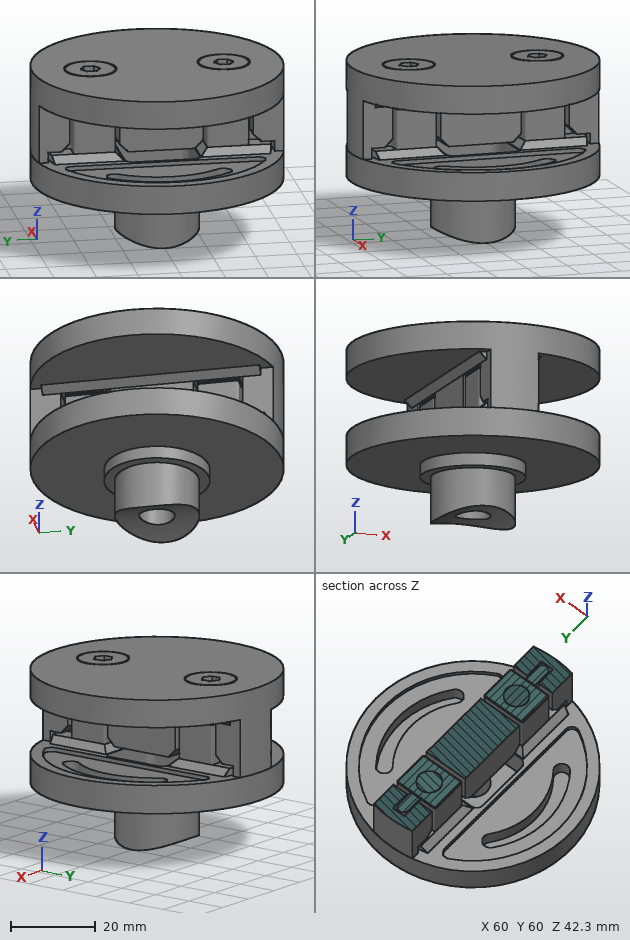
import cadquery as cq
import math

plate_diameter = 60.0
cap_thickness = 6.7
base_thickness = 6.9
glass_gap = 14.15
web_width = 12.0
foot_chamfer = 1.8
screw_spacing = 32.05

plate_radius = plate_diameter / 2
half_web = web_width / 2
half_foot = half_web + foot_chamfer
screw_places = [(0, screw_spacing / 2), (0, -screw_spacing / 2)]
block_length = 10.0
block_corner_radius = 0.5
joint_height = 11.7
joint_chamfer = 0.25
ceiling_height = glass_gap - foot_chamfer
block_inner_face = (screw_spacing - block_length) / 2
block_outer_face = (screw_spacing + block_length) / 2

ridge_outer_radius = 27.0
tongue_thickness = 3.0
tongue_root_radius = 0.4
pad_radius = 27.0
pad_inner_edge = 10.0
pad_depth = 1.0
pad_corner_radius = 1.8
kidney_mid_radius = 21.0
kidney_width = 3.95
kidney_half_angle = 38.5
kidney_depth = 3.6
window_side = 18.0
window_corner_radius = 2.0

slot_width = 12.0
slot_chamfer = 2.0
tongue_slot_width = 3.5
tongue_slot_end = 27.25
tongue_notch_height = 2.5
center_block_clearance = 1.7
flare_half_length = 26.4

countersink_diameter = 12.5
head_diameter = 12.0
shank_diameter = 6.0
screw_length = 20.0
socket_across_flats = 4.1
socket_depth = 3.6

collar_diameter = 25.0
collar_height = 3.05
stub_diameter = 20.05
stub_length = 11.45
saddle_radius = 22.5
adapter_bore = 8.4

cap_top = glass_gap + cap_thickness
screw_tip = cap_top - screw_length
base_bottom = -base_thickness
collar_bottom = base_bottom - collar_height
stub_bottom = collar_bottom - stub_length


def cylinder(diameter, bottom, top):
    """Upright cylinder on the Z axis."""
    return cq.Workplane("XY").workplane(offset=bottom).circle(diameter / 2).extrude(top - bottom)


def joint_block(bottom, top):
    """Rounded rectangular block around each screw, on both sides of the joint."""
    return (
        cq.Workplane("XY").workplane(offset=bottom)
        .pushPoints(screw_places)
        .rect(web_width, block_length)
        .extrude(top - bottom)
        .edges("|Z").fillet(block_corner_radius)
    )


def screw_holes(bottom, top):
    """Plain holes that the screw shanks fill."""
    return (
        cq.Workplane("XY").workplane(offset=bottom)
        .pushPoints(screw_places)
        .circle(shank_diameter / 2)
        .extrude(top - bottom)
    )


def ridges():
    """Two bevelled ridges that carry the posts, with rounded outer ends."""
    inner_foot = block_inner_face - foot_chamfer
    profile = [
        (-half_foot, 0),
        (half_foot, 0),
        (half_web, foot_chamfer),
        (-half_web, foot_chamfer),
    ]
    bar = cq.Workplane("XZ").polyline(profile).close().extrude(plate_radius, both=True)
    gap_profile = [
        (-inner_foot, 0),
        (inner_foot, 0),
        (block_inner_face, foot_chamfer),
        (-block_inner_face, foot_chamfer),
    ]
    gap = cq.Workplane("YZ").polyline(gap_profile).close().extrude(half_foot, both=True)
    return bar.cut(gap).intersect(cylinder(2 * ridge_outer_radius, 0, foot_chamfer))


def posts():
    """Posts around the screws, each with a round-ended tongue that points outwards."""
    tongues = (
        cq.Workplane("XY")
        .slot2D(2 * ridge_outer_radius, tongue_thickness, 90)
        .extrude(ceiling_height)
        .cut(cq.Workplane("XY").box(web_width, 2 * block_outer_face, 2 * glass_gap))
    )
    blocks = joint_block(0, joint_height).faces(">Z").chamfer(joint_chamfer)
    root_edges = cq.selectors.BoxSelector(
        (-tongue_thickness, -block_outer_face - tongue_root_radius, 0),
        (tongue_thickness, block_outer_face + tongue_root_radius, joint_height),
    )
    return blocks.union(tongues).edges("|Z").edges(root_edges).fillet(tongue_root_radius)


def pad_pockets():
    """Shallow D-shaped pockets on both sides of the ridges."""
    pads = cylinder(2 * pad_radius, -pad_depth, 0).cut(
        cq.Workplane("XY").box(2 * pad_inner_edge, plate_diameter, plate_diameter)
    )
    return pads.edges("|Z").fillet(pad_corner_radius)


def kidney_pocket():
    """Curved pocket with round ends in the floor of the pad pocket on the -X side."""
    angle = math.radians(kidney_half_angle)

    def on_arc(radius, turn):
        return (-radius * math.cos(turn), radius * math.sin(turn))

    inner = kidney_mid_radius - kidney_width / 2
    outer = kidney_mid_radius + kidney_width / 2
    sweep = (
        cq.Workplane("XY").workplane(offset=-pad_depth)
        .moveTo(*on_arc(outer, -angle))
        .threePointArc((-outer, 0), on_arc(outer, angle))
        .lineTo(*on_arc(inner, angle))
        .threePointArc((-inner, 0), on_arc(inner, -angle))
        .close()
        .extrude(-kidney_depth)
    )
    ends = (
        cq.Workplane("XY").workplane(offset=-pad_depth)
        .pushPoints([on_arc(kidney_mid_radius, angle), on_arc(kidney_mid_radius, -angle)])
        .circle(kidney_width / 2)
        .extrude(-kidney_depth)
    )
    return sweep.union(ends)


def make_base():
    window = (
        cq.Workplane("XY")
        .rect(window_side, window_side)
        .extrude(-base_thickness)
        .edges("|Z").fillet(window_corner_radius)
    )
    kidney = kidney_pocket()
    return (
        cylinder(plate_diameter, base_bottom, 0)
        .union(ridges())
        .union(posts())
        .cut(window)
        .cut(pad_pockets())
        .cut(kidney)
        .cut(kidney.mirror("YZ"))
        .cut(screw_holes(screw_tip, cap_top))
    )


def web():
    """Central web with openings for the base posts and their tongues."""
    slot_inner = (screw_spacing - slot_width) / 2
    slot_outer = (screw_spacing + slot_width) / 2
    half_outline = [
        (plate_radius, glass_gap),
        (plate_radius, 0),
        (tongue_slot_end, 0),
        (tongue_slot_end, tongue_notch_height),
        (slot_outer + slot_chamfer, tongue_notch_height),
        (slot_outer, tongue_notch_height + slot_chamfer),
        (slot_outer, ceiling_height),
        (slot_inner, ceiling_height),
        (slot_inner, center_block_clearance + slot_chamfer),
        (slot_inner - slot_chamfer, center_block_clearance),
    ]
    mirrored_half = [(-y, z) for y, z in reversed(half_outline)]
    plate = cq.Workplane("YZ").polyline(half_outline + mirrored_half).close().extrude(half_web, both=True)
    center_block = cq.Workplane("XY").box(web_width, 2 * slot_inner, 2 * glass_gap)
    tongue_slots = (
        cq.Workplane("XY")
        .rect(tongue_slot_width, 2 * tongue_slot_end)
        .extrude(ceiling_height)
        .cut(center_block)
    )
    return plate.cut(tongue_slots).intersect(cylinder(plate_diameter, 0, glass_gap))


def web_flare():
    """Bevelled strip where the web meets the cap plate."""
    profile = [
        (-half_foot, glass_gap),
        (half_foot, glass_gap),
        (half_web, ceiling_height),
        (-half_web, ceiling_height),
    ]
    return cq.Workplane("XZ").polyline(profile).close().extrude(flare_half_length, both=True)


def countersinks():
    """Conical seats for the screw heads."""
    depth = (countersink_diameter - shank_diameter) / 2
    cone = cq.Solid.makeCone(
        shank_diameter / 2, countersink_diameter / 2, depth, pnt=cq.Vector(0, 0, cap_top - depth)
    )
    return cq.Workplane("XY").pushPoints(screw_places).eachpoint(lambda place: cone.moved(place))


def make_cap():
    pads = joint_block(joint_height, ceiling_height).faces("<Z").chamfer(joint_chamfer)
    return (
        cylinder(plate_diameter, glass_gap, cap_top)
        .union(web())
        .union(web_flare())
        .union(pads)
        .cut(screw_holes(joint_height, cap_top))
        .cut(countersinks())
    )


def make_screw():
    """Countersunk screw on the Z axis, with a thin lip and a hexagon socket that has flats facing X."""
    lip_bottom = cap_top - (countersink_diameter - head_diameter) / 2
    cone_bottom = lip_bottom - (head_diameter - shank_diameter) / 2
    socket_corner_diameter = socket_across_flats / math.cos(math.pi / 6)
    half_section = [
        (0, screw_tip),
        (shank_diameter / 2, screw_tip),
        (shank_diameter / 2, cone_bottom),
        (head_diameter / 2, lip_bottom),
        (head_diameter / 2, cap_top),
        (0, cap_top),
    ]
    socket = (
        cq.Workplane("XY").workplane(offset=cap_top)
        .transformed(rotate=(0, 0, 90))
        .polygon(6, socket_corner_diameter)
        .extrude(-socket_depth)
    )
    return cq.Workplane("XZ").polyline(half_section).close().revolve(360, (0, 0), (0, 1)).cut(socket)


def make_adapter():
    """Collar and stub with a bore, and a saddle that fits a tube running along Y."""
    saddle_top = stub_bottom + saddle_radius - math.sqrt(saddle_radius**2 - (stub_diameter / 2) ** 2)
    tube = (
        cq.Workplane("XZ")
        .center(0, saddle_top - saddle_radius)
        .circle(saddle_radius)
        .extrude(stub_diameter, both=True)
    )
    return (
        cylinder(collar_diameter, collar_bottom, base_bottom)
        .union(cylinder(stub_diameter, stub_bottom, collar_bottom))
        .cut(cylinder(adapter_bore, stub_bottom, base_bottom))
        .cut(tube)
    )


base = make_base()
cap = make_cap()
adapter = make_adapter()
screws = [make_screw().translate((x, y, 0)).val() for x, y in screw_places]

result = cq.Compound.makeCompound([base.val(), cap.val(), adapter.val(), *screws])